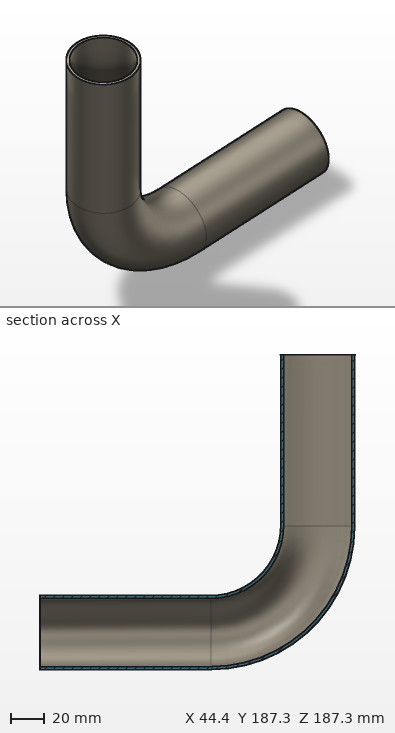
import cadquery as cq

overall_length = 187.3
outer_diameter = 44.4
inner_diameter = 40.3
bend_radius = 63.5

leg_length = overall_length - bend_radius - outer_diameter / 2
bend_angle = 90


def tube_section(plane):
    """Ring-shaped cross-section of the tube on the given plane."""
    return cq.Workplane(plane).circle(outer_diameter / 2).circle(inner_diameter / 2)


bend = tube_section("XY").revolve(bend_angle, (-1.9, bend_radius, 0), (1.9, bend_radius, 0))

vertical_leg = tube_section("XY").extrude(leg_length)

horizontal_plane = cq.Plane(origin=(0, bend_radius, -bend_radius), xDir=(1, 0, 0), normal=(0, 1, 0))
horizontal_leg = tube_section(horizontal_plane).extrude(leg_length)

result = bend.union(vertical_leg).union(horizontal_leg)